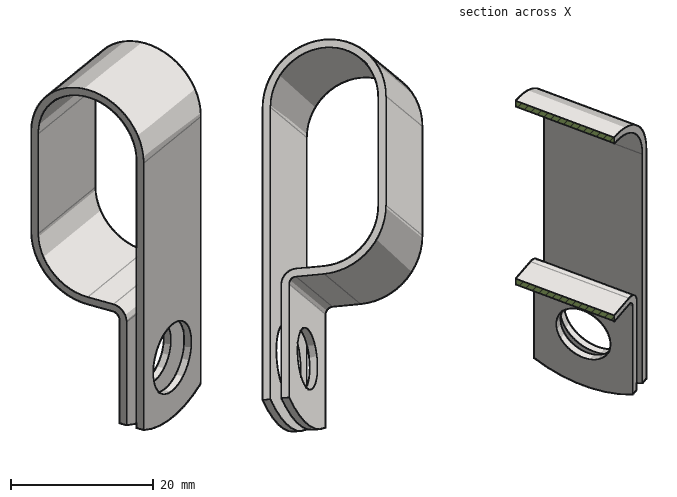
import cadquery as cq
import math

height = 53.55
outer_width = 18.3
strap_width = 15.9
thickness = 1.2

loop_radius = outer_width / 2
straight_length = 15.95
upper_center_z = height - loop_radius
lower_center_z = upper_center_z - straight_length
loop_bottom_z = lower_center_z - loop_radius

tab_gap = 1.6
bend_inner_radius = 1.0
bend_outer_radius = bend_inner_radius + thickness
short_tab_hole_diameter = 8.75
long_tab_hole_diameter = 10.6
hole_z = 9.6
tip_rise = 1.7

long_tab_inner_x = loop_radius - thickness
short_tab_outer_x = long_tab_inner_x - tab_gap
short_tab_inner_x = short_tab_outer_x - thickness
bend_center_x = short_tab_outer_x - bend_outer_radius
bend_center_z = loop_bottom_z - bend_inner_radius


def arc_point(center_x, center_z, radius, angle):
    """Point on an arc in the XZ plane, angle in degrees from +X."""
    turn = math.radians(angle)
    return (center_x + radius * math.cos(turn), center_z + radius * math.sin(turn))


def bent_strap():
    """Strap profile, extruded symmetrically across its width."""
    inner_radius = loop_radius - thickness
    return (
        cq.Workplane("XZ")
        .moveTo(loop_radius, 0)
        .lineTo(loop_radius, upper_center_z)
        .threePointArc((0, height), (-loop_radius, upper_center_z))
        .lineTo(-loop_radius, lower_center_z)
        .threePointArc(arc_point(0, lower_center_z, loop_radius, 225), (0, loop_bottom_z))
        .lineTo(bend_center_x, loop_bottom_z)
        .threePointArc(
            arc_point(bend_center_x, bend_center_z, bend_inner_radius, 45),
            (short_tab_inner_x, bend_center_z),
        )
        .lineTo(short_tab_inner_x, 0)
        .lineTo(short_tab_outer_x, 0)
        .lineTo(short_tab_outer_x, bend_center_z)
        .threePointArc(
            arc_point(bend_center_x, bend_center_z, bend_outer_radius, 45),
            (bend_center_x, loop_bottom_z + thickness),
        )
        .lineTo(0, loop_bottom_z + thickness)
        .threePointArc(
            arc_point(0, lower_center_z, inner_radius, 225),
            (-inner_radius, lower_center_z),
        )
        .lineTo(-inner_radius, upper_center_z)
        .threePointArc((0, height - thickness), (long_tab_inner_x, upper_center_z))
        .lineTo(long_tab_inner_x, 0)
        .close()
        .extrude(strap_width / 2, both=True)
    )


def rounded_tip_envelope():
    """Block around the strap whose lower end is the shallow arc of the tabs."""
    half_width = strap_width / 2
    return (
        cq.Workplane("YZ")
        .moveTo(-half_width, height)
        .lineTo(-half_width, tip_rise)
        .threePointArc((0, 0), (half_width, tip_rise))
        .lineTo(half_width, height)
        .close()
        .extrude(outer_width, both=True)
    )


def tab_hole(tab_inner_x, diameter):
    """Cylinder along X through the one tab that starts at tab_inner_x."""
    return (
        cq.Workplane("YZ", origin=(tab_inner_x, 0, hole_z))
        .circle(diameter / 2)
        .extrude(thickness)
    )


result = (
    bent_strap()
    .intersect(rounded_tip_envelope())
    .cut(tab_hole(short_tab_inner_x, short_tab_hole_diameter))
    .cut(tab_hole(long_tab_inner_x, long_tab_hole_diameter))
)